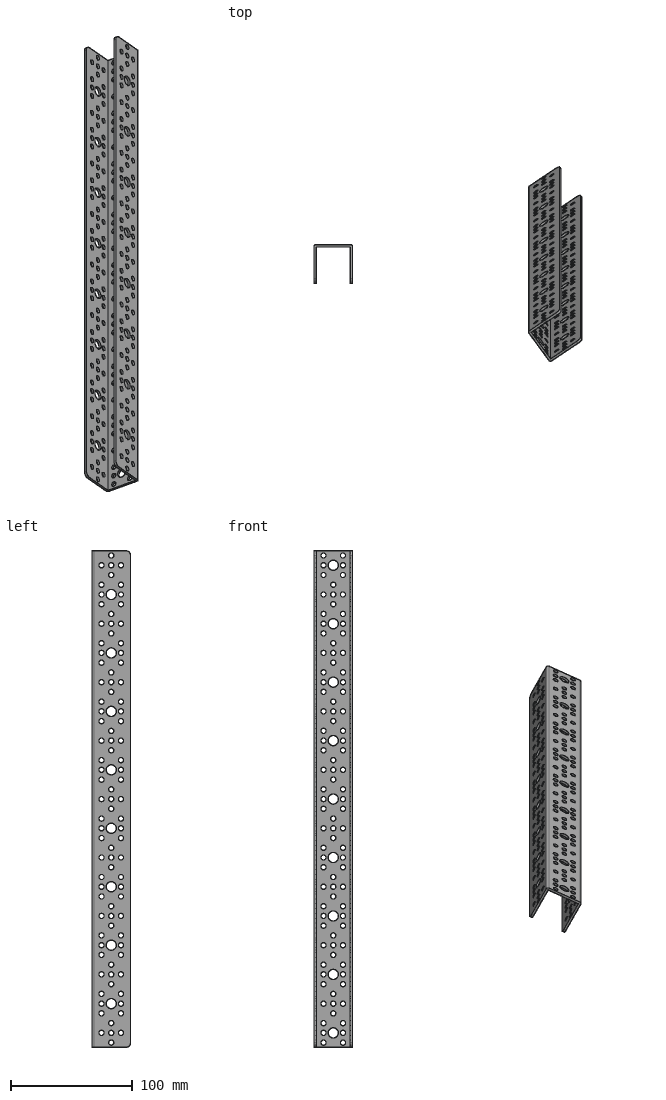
import cadquery as cq

length = 408.0
group_count = 17
group_pitch = length / group_count
hole_spacing = group_pitch / 3
small_diameter = 4.0
large_diameter = 8.0

width = 32.0
depth = 4 * hole_spacing
wall = 2.0
bend_radius = 1.5
corner_radius = 4.0

steps = (-hole_spacing, hole_spacing)
side_holes = [(across, 0) for across in steps]
corner_holes = [(across, along) for across in steps for along in steps]
centre_line_holes = [(0, -hole_spacing), (0, 0), (0, hole_spacing)]


def make_channel():
    """U-shaped channel standing along Z, with its web at +Y and open toward -Y."""
    outer = cq.Workplane("XY").box(width, depth, length)
    outer = outer.edges("|Z and >Y").fillet(bend_radius)
    outer = outer.edges("|X and <Y").fillet(corner_radius)
    inner = cq.Workplane("XY").box(width - 2 * wall, depth, length).translate((0, -wall, 0))
    return outer.cut(inner)


def drill_pattern(body, plane, first_large_group, reach, both_sides):
    """Drill the hole pattern; every second group from first_large_group has a large hole."""
    small_points = []
    large_points = []
    for index in range(group_count):
        centre = (index + 0.5) * group_pitch - length / 2
        if index % 2 == first_large_group:
            large_points.append((0, centre))
            offsets = side_holes + corner_holes
        else:
            offsets = side_holes + centre_line_holes
        small_points += [(across, centre + along) for across, along in offsets]

    for points, diameter in ((small_points, small_diameter), (large_points, large_diameter)):
        circles = cq.Workplane(plane).pushPoints(points).circle(diameter / 2)
        body = body.cut(circles.extrude(reach, both=both_sides))
    return body


channel = make_channel()

channel = drill_pattern(channel, "XZ", first_large_group=0, reach=-depth, both_sides=False)

channel = drill_pattern(channel, "YZ", first_large_group=1, reach=width, both_sides=True)

result = channel